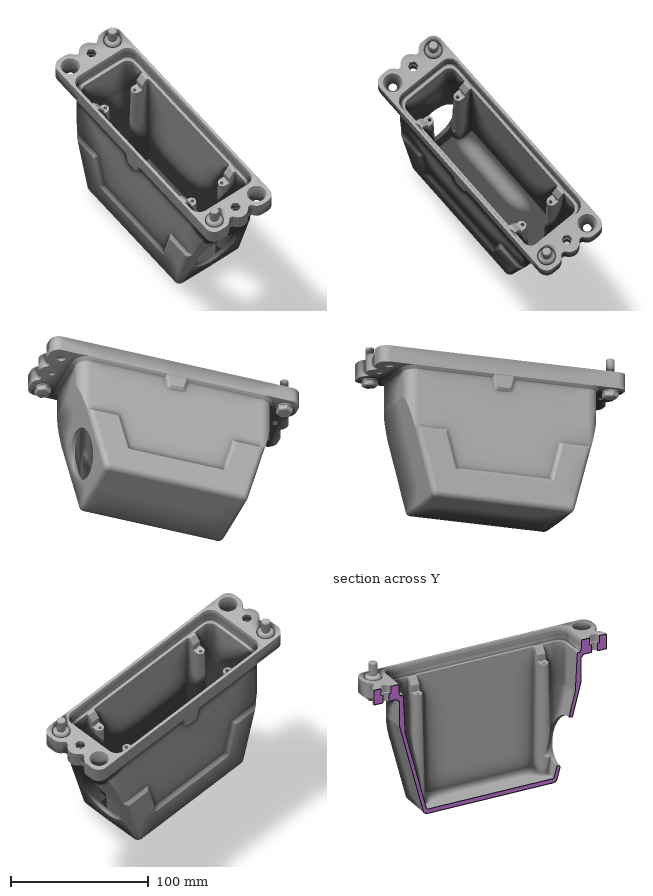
import cadquery as cq
import math


FLANGE_LENGTH = 193.0
FLANGE_WIDTH = 57.9
FLANGE_THICKNESS = 12.4
LOBE_RADIUS = 7.3
SCALLOP_RADIUS = 2.7
CORNER_LOBE_Y = 17.0

HOLE_X = 86.5
HOLE_Y = 19.3
CONE_TOP_DIAMETER = 14.0
CONE_DEPTH = 10.5
SCREW_HOLE_DIAMETER = 6.4
HEX_SOCKET_ACROSS_CORNERS = 7.7
HEX_SOCKET_DEPTH = 5.8
CENTRE_HOLE_DIAMETER = 4.6
STUD_DIAMETER = 6.4
STUD_TOP = 12.0
STUD_CHAMFER = 0.5
WASHER_DIAMETER = 12.4
WASHER_TOP = 2.0
WASHER_SHOULDER_RADIUS = 5.0
WASHER_SHOULDER_Z = 1.5
COLLAR_THICKNESS = 1.0
HEAD_ACROSS_CORNERS = 12.2
HEAD_BOTTOM = -17.4
HEAD_CHAMFER = 0.8

BODY_LENGTH = 150.5
BODY_WIDTH = 53.3
BODY_CORNER_RADIUS = 8.9
FLARE_HEIGHT = 2.3
END_SLOPE = 15.0
SLOPE_START_Z = -34.7
BODY_BOTTOM_Z = -110.8
BOTTOM_CROWN = 0.8
LOWER_WIDTH = 58.0
LOWER_CORNER_RADIUS = 4.2
BOTTOM_RADIUS = 3.9

PANEL_SHOULDER_Z = -57.9
PANEL_BOTTOM_Z = -86.3
PANEL_BOTTOM_HALF = 35.9
PANEL_BEVEL = 2.9
PANEL_CORNER_RADIUS = 1.2

TAB_HALF_WIDTH = 9.8
TAB_BOTTOM_Z = -24.3
TAB_DEPTH = 2.1
TAB_BEVEL = 2.3
TAB_CORNER_RADIUS = 3.9

RECESS_LENGTH = 151.7
RECESS_WIDTH = 53.7
RECESS_CORNER_RADIUS = 7.7
RECESS_BEVEL = 0.5
RECESS_BEVEL_HEIGHT = 2.1
RECESS_FOOT_HEIGHT = 0.8
RECESS_DEPTH = 9.6
CAVITY_LENGTH = 144.0
CAVITY_WIDTH = 46.7
CAVITY_FLOOR_WIDTH = 44.8
CAVITY_KINK_HALF = 70.3
CAVITY_KINK_Z = -41.0
CAVITY_KINK_RADIUS = 21.2
CAVITY_FLOOR_Z = -107.0
CAVITY_CORNER_RADIUS = 6.2
CAVITY_FLOOR_RADIUS = 1.2

POST_X = 52.3
POST_ROOT_Y = 25.9
POST_CENTRE_Y = 14.3
POST_TOP_RADIUS = 3.3
POST_BASE_RADIUS = 5.5
POST_WALL_FILLET = 1.2
POST_TOP_Y = 21.6
POST_STEP_Y = 17.8
POST_STEP_Z = -14.3
POST_SEAT_Z = -19.3
POST_HOLE_Y = 13.3
POST_HOLE_DIAMETER = 2.7
POST_HOLE_DEPTH = 11.5

ENTRY_DIAMETER = 38.2
ENTRY_Z = -79.7

SLOPE_RUN = math.tan(math.radians(END_SLOPE))


def rounded_block(length, width, radius, bottom, top):
    height = top - bottom
    block = cq.Workplane("XY", origin=(0, 0, bottom)).rect(length, width).extrude(height)
    return block.edges("|Z").fillet(radius)


def mirrored(solid, plane):
    return solid.union(solid.mirror(plane))


def height_band(bottom, top):
    """Selects whatever has its centre within the part length and between two heights."""
    reach = FLANGE_LENGTH / 2
    return cq.selectors.BoxSelector((-reach, -reach, bottom), (reach, reach, top))


def cylinder(diameter, bottom, top, x=0, y=0):
    return cq.Workplane("XY", origin=(x, y, bottom)).circle(diameter / 2).extrude(top - bottom)


def flange():
    """Plate whose ends carry three round lobes joined by concave scallops."""
    end_x = FLANGE_LENGTH / 2
    half_width = FLANGE_WIDTH / 2
    lobe_x = end_x - LOBE_RADIUS
    corner_y = half_width - LOBE_RADIUS
    scallop_y = CORNER_LOBE_Y / 2

    centre_gap = LOBE_RADIUS + SCALLOP_RADIUS
    join_angle = math.asin(scallop_y / centre_gap)
    scallop_bottom_x = lobe_x + centre_gap * math.cos(join_angle) - SCALLOP_RADIUS

    def on_lobe(centre_y, angle):
        return lobe_x + LOBE_RADIUS * math.cos(angle), centre_y + LOBE_RADIUS * math.sin(angle)

    quarter = (
        cq.Workplane("XY", origin=(0, 0, -FLANGE_THICKNESS))
        .lineTo(end_x, 0)
        .threePointArc(on_lobe(0, join_angle / 2), on_lobe(0, join_angle))
        .threePointArc((scallop_bottom_x, scallop_y), on_lobe(CORNER_LOBE_Y, -join_angle))
        .threePointArc(on_lobe(CORNER_LOBE_Y, -join_angle / 2), (end_x, CORNER_LOBE_Y))
        .lineTo(end_x, corner_y)
        .threePointArc(on_lobe(corner_y, math.pi / 4), (lobe_x, half_width))
        .lineTo(0, half_width)
        .close()
        .extrude(FLANGE_THICKNESS)
    )
    return mirrored(mirrored(quarter, "XZ"), "YZ").clean()


def sloped_block(half_length, width, kink_half, kink_z, top, bottom):
    """Block tapering gently from half_length to kink_half, then along the end slope to the bottom."""
    bottom_half = kink_half - (kink_z - bottom) * SLOPE_RUN
    right_side = [(half_length, top), (kink_half, kink_z), (bottom_half, bottom)]
    left_side = [(-x, z) for x, z in reversed(right_side)]
    return cq.Workplane("XZ").polyline(right_side + left_side).close().extrude(width / 2, both=True)


def outer_block(width):
    half_length = BODY_LENGTH / 2
    return sloped_block(half_length, width, half_length, SLOPE_START_Z, -FLANGE_THICKNESS, BODY_BOTTOM_Z)


def upper_body():
    """Round-cornered column with the sloped ends, flared where it meets the flange."""
    column = rounded_block(BODY_LENGTH, BODY_WIDTH, BODY_CORNER_RADIUS,
                           PANEL_SHOULDER_Z, -FLANGE_THICKNESS)
    column = column.intersect(outer_block(BODY_WIDTH))
    flare = rounded_block(BODY_LENGTH + 2 * FLARE_HEIGHT, BODY_WIDTH + 2 * FLARE_HEIGHT,
                          BODY_CORNER_RADIUS + FLARE_HEIGHT,
                          -FLANGE_THICKNESS - FLARE_HEIGHT, -FLANGE_THICKNESS)
    flare = flare.faces("<Z").chamfer(0.999 * FLARE_HEIGHT)
    return column.union(flare)


def side_pads(outline, depth, bevel, corner_z, corner_radius):
    """Pads on both long walls, rounded at the corners near corner_z.

    The edges lean inward by bevel, or outward if it is negative.
    """
    lean = math.degrees(math.atan2(bevel, depth))
    wall = cq.Workplane("XZ", origin=(0, -BODY_WIDTH / 2, 0))
    pad = wall.polyline(outline).close().extrude(depth, taper=lean)
    corners = height_band(corner_z - depth, corner_z + depth)
    pad = pad.edges(corners).edges("not(#Y)").fillet(corner_radius)
    return mirrored(pad, "XZ")


def lower_body():
    """Wider section with rounded edges and a slightly crowned bottom, cut back to the grip panel."""
    half_width = LOWER_WIDTH / 2
    crown_outline = [
        (-half_width, 0),
        (-half_width, BODY_BOTTOM_Z + BOTTOM_CROWN),
        (0, BODY_BOTTOM_Z),
        (half_width, BODY_BOTTOM_Z + BOTTOM_CROWN),
        (half_width, 0),
    ]
    crown = cq.Workplane("YZ").polyline(crown_outline).close().extrude(BODY_LENGTH / 2, both=True)
    block = outer_block(LOWER_WIDTH).intersect(crown)

    rim_top = BODY_BOTTOM_Z + BOTTOM_RADIUS
    block = block.edges(height_band(rim_top, SLOPE_START_Z - 2)).fillet(LOWER_CORNER_RADIUS)
    block = block.edges(height_band(BODY_BOTTOM_Z - 2, rim_top)).edges("not(<Z)").fillet(BOTTOM_RADIUS)

    shoulder_half = PANEL_BOTTOM_HALF + (PANEL_SHOULDER_Z - PANEL_BOTTOM_Z) * SLOPE_RUN
    right_side = [
        (BODY_LENGTH, 0),
        (BODY_LENGTH, PANEL_SHOULDER_Z),
        (shoulder_half, PANEL_SHOULDER_Z),
        (PANEL_BOTTOM_HALF, PANEL_BOTTOM_Z),
    ]
    left_side = [(-x, z) for x, z in reversed(right_side)]
    depth = (LOWER_WIDTH - BODY_WIDTH) / 2
    panels = side_pads(right_side + left_side, depth, -PANEL_BEVEL, PANEL_SHOULDER_Z, PANEL_CORNER_RADIUS)
    block = block.cut(panels)

    below_shoulder = cq.Workplane("XY", origin=(0, 0, PANEL_SHOULDER_Z)).rect(BODY_LENGTH, LOWER_WIDTH)
    return block.intersect(below_shoulder.extrude(BODY_BOTTOM_Z - PANEL_SHOULDER_Z))


def tabs():
    """Bevelled tongue below the flange, in the middle of each long side."""
    root_z = -FLANGE_THICKNESS / 2
    bottom_half = TAB_HALF_WIDTH - (-FLANGE_THICKNESS - TAB_BOTTOM_Z) * SLOPE_RUN
    root_half = bottom_half + (root_z - TAB_BOTTOM_Z) * SLOPE_RUN
    outline = [
        (-root_half, root_z),
        (-bottom_half, TAB_BOTTOM_Z),
        (bottom_half, TAB_BOTTOM_Z),
        (root_half, root_z),
    ]
    return side_pads(outline, TAB_DEPTH, TAB_BEVEL, TAB_BOTTOM_Z, TAB_CORNER_RADIUS)


def gasket_recess():
    """Step around the opening: two straight walls, each below a bevel."""
    lean = math.degrees(math.atan2(RECESS_BEVEL, RECESS_BEVEL_HEIGHT))
    length = RECESS_LENGTH
    width = RECESS_WIDTH
    radius = RECESS_CORNER_RADIUS
    top = 0
    wall_height = RECESS_DEPTH - RECESS_FOOT_HEIGHT - 2 * RECESS_BEVEL_HEIGHT
    levels = [
        (RECESS_BEVEL_HEIGHT, lean),
        (wall_height, 0),
        (RECESS_BEVEL_HEIGHT, lean),
        (RECESS_FOOT_HEIGHT, 0),
    ]
    recess = None
    for height, taper in levels:
        outline = cq.Sketch().rect(length, width).vertices().fillet(radius)
        level = cq.Workplane("XY", origin=(0, 0, top)).placeSketch(outline).extrude(-height, taper=taper)
        recess = level if recess is None else recess.union(level)
        top -= height
        if taper:
            length -= 2 * RECESS_BEVEL
            width -= 2 * RECESS_BEVEL
            radius -= RECESS_BEVEL
    return recess


def post():
    """Drafted screw post standing on the floor against the +Y wall, with a stepped top."""
    height = -RECESS_DEPTH - CAVITY_FLOOR_Z
    draft = math.degrees(math.atan2(POST_BASE_RADIUS - POST_TOP_RADIUS, height))
    column = (
        cq.Workplane("XY", origin=(POST_X, 0, CAVITY_FLOOR_Z))
        .moveTo(-POST_BASE_RADIUS, POST_ROOT_Y)
        .lineTo(-POST_BASE_RADIUS, POST_CENTRE_Y)
        .threePointArc((0, POST_CENTRE_Y - POST_BASE_RADIUS), (POST_BASE_RADIUS, POST_CENTRE_Y))
        .lineTo(POST_BASE_RADIUS, POST_ROOT_Y)
        .close()
        .extrude(height, taper=draft)
    )
    above_top = (
        cq.Workplane("YZ", origin=(POST_X, 0, 0))
        .moveTo(0, POST_SEAT_Z)
        .lineTo(POST_STEP_Y, POST_SEAT_Z)
        .lineTo(POST_STEP_Y, POST_STEP_Z)
        .lineTo(POST_TOP_Y, -RECESS_DEPTH)
        .lineTo(POST_TOP_Y, 0)
        .lineTo(0, 0)
        .close()
        .extrude(2 * POST_BASE_RADIUS, both=True)
    )
    hole = cylinder(POST_HOLE_DIAMETER, POST_SEAT_Z - POST_HOLE_DEPTH, POST_SEAT_Z, POST_X, POST_HOLE_Y)
    return column.cut(above_top).cut(hole)


def cavity():
    """Hollow with sloped ends and rounded corners; the four screw posts are left out of it."""
    hollow = sloped_block(CAVITY_LENGTH / 2, CAVITY_WIDTH, CAVITY_KINK_HALF, CAVITY_KINK_Z,
                          -RECESS_DEPTH, CAVITY_FLOOR_Z)
    side_draft = (
        cq.Workplane("YZ")
        .polyline([
            (-CAVITY_WIDTH / 2, -RECESS_DEPTH),
            (CAVITY_WIDTH / 2, -RECESS_DEPTH),
            (CAVITY_FLOOR_WIDTH / 2, CAVITY_FLOOR_Z),
            (-CAVITY_FLOOR_WIDTH / 2, CAVITY_FLOOR_Z),
        ])
        .close()
        .extrude(CAVITY_LENGTH, both=True)
    )
    hollow = hollow.intersect(side_draft)
    walls = height_band(CAVITY_FLOOR_Z + 2, -RECESS_DEPTH - 2)
    hollow = hollow.edges(walls).edges("|Y").fillet(CAVITY_KINK_RADIUS)
    hollow = hollow.edges(walls).edges("not(|Y)").fillet(CAVITY_CORNER_RADIUS)
    hollow = hollow.cut(mirrored(mirrored(post(), "XZ"), "YZ"))

    wall_y = CAVITY_WIDTH / 2
    for y in (-wall_y, wall_y):
        wall_strip = cq.selectors.BoxSelector(
            (-POST_X, y - POST_WALL_FILLET, CAVITY_FLOOR_Z + 2), (POST_X, y + POST_WALL_FILLET, POST_SEAT_Z)
        )
        hollow = hollow.edges(wall_strip).fillet(POST_WALL_FILLET)
    return hollow.faces("<Z").edges().fillet(CAVITY_FLOOR_RADIUS)


def cable_entry():
    """Round hole square to the sloped +X end face."""
    entry_x = BODY_LENGTH / 2 - (SLOPE_START_Z - ENTRY_Z) * SLOPE_RUN
    slope = math.radians(END_SLOPE)
    outward = (math.cos(slope), 0, -math.sin(slope))
    plane = cq.Plane(origin=(entry_x, 0, ENTRY_Z), xDir=(0, 1, 0), normal=outward)
    return cq.Workplane(plane).circle(ENTRY_DIAMETER / 2).extrude(BODY_CORNER_RADIUS, both=True)


def conical_hole(x, y):
    return (
        cq.Workplane("XZ", origin=(x, y, 0))
        .lineTo(CONE_TOP_DIAMETER / 2, 0)
        .lineTo(SCREW_HOLE_DIAMETER / 2, -CONE_DEPTH)
        .lineTo(SCREW_HOLE_DIAMETER / 2, -FLANGE_THICKNESS)
        .lineTo(0, -FLANGE_THICKNESS)
        .close()
        .revolve(360, (0, 0), (0, 1))
    )


def hex_hole(x):
    hexagon = cq.Workplane("XY", origin=(x, 0, 0)).polygon(6, HEX_SOCKET_ACROSS_CORNERS)
    socket = hexagon.extrude(-HEX_SOCKET_DEPTH)
    return socket.union(cylinder(CENTRE_HOLE_DIAMETER, -FLANGE_THICKNESS, 0, x))


def screw(x, y):
    """Stud pointing up through a round-edged grommet, with a hexagon head below the flange."""
    collar_bottom = -FLANGE_THICKNESS - COLLAR_THICKNESS
    grommet = (
        cq.Workplane("XZ", origin=(x, y, 0))
        .moveTo(0, collar_bottom)
        .lineTo(WASHER_DIAMETER / 2, collar_bottom)
        .lineTo(WASHER_DIAMETER / 2, 0)
        .threePointArc((WASHER_SHOULDER_RADIUS, WASHER_SHOULDER_Z), (STUD_DIAMETER / 2, WASHER_TOP))
        .lineTo(0, WASHER_TOP)
        .close()
        .revolve(360, (0, 0), (0, 1))
    )
    stud = cylinder(STUD_DIAMETER, collar_bottom, STUD_TOP, x, y)
    stud = stud.faces(">Z").chamfer(STUD_CHAMFER)
    head = (
        cq.Workplane("XY", origin=(x, y, HEAD_BOTTOM))
        .transformed(rotate=(0, 0, 30))
        .polygon(6, HEAD_ACROSS_CORNERS)
        .extrude(collar_bottom - HEAD_BOTTOM)
    )
    head = head.faces("<Z").chamfer(HEAD_CHAMFER)
    return grommet.union(stud).union(head)


part = flange().union(upper_body()).union(lower_body()).union(tabs())
part = part.cut(gasket_recess()).cut(cavity()).cut(cable_entry())
for side in (-1, 1):
    part = part.cut(hex_hole(side * HOLE_X))
    for end in (-1, 1):
        part = part.cut(conical_hole(end * HOLE_X, side * HOLE_Y))

for side in (-1, 1):
    part = part.union(screw(side * HOLE_X, -side * HOLE_Y))

result = part